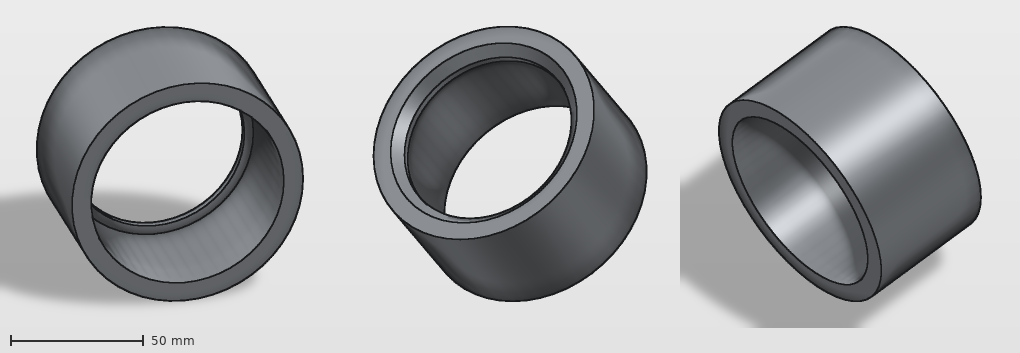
import cadquery as cq

length = 51.0
outer_diameter = 90.0
lip_diameter = 68.0
bore_diameter = 75.0
mouth_diameter = 76.0
lip_end_depth = 7.0

outer_radius = outer_diameter / 2
lip_radius = lip_diameter / 2
bore_radius = bore_diameter / 2
mouth_radius = mouth_diameter / 2
lead_in_depth = mouth_radius - lip_radius

left_x = -length / 2
right_x = length / 2
lip_start_x = left_x + lead_in_depth
lip_end_x = left_x + lip_end_depth

wall_section = (
    cq.Workplane("XY")
    .moveTo(left_x, outer_radius)
    .lineTo(right_x, outer_radius)
    .lineTo(right_x, bore_radius)
    .lineTo(lip_end_x, bore_radius)
    .lineTo(lip_end_x, lip_radius)
    .lineTo(lip_start_x, lip_radius)
    .lineTo(left_x, mouth_radius)
    .close()
)

result = wall_section.revolve(360, (0, 0, 0), (1, 0, 0))